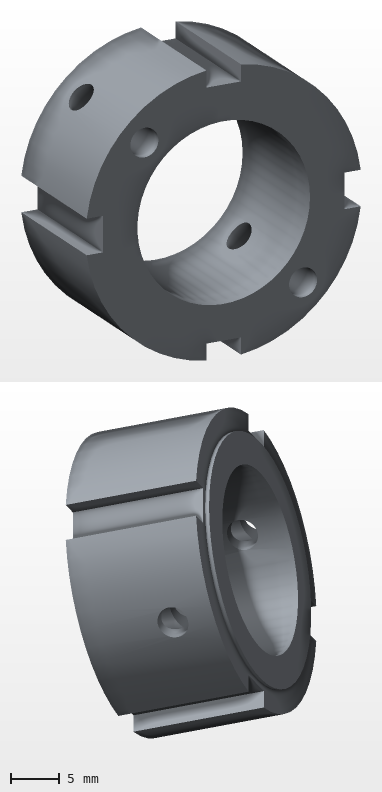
import cadquery as cq

outer_diameter = 32.0
bore_diameter = 20.0
total_width = 15.0
lip_diameter = 27.0
lip_width = 0.45

slot_count = 4
slot_width = 4.0
slot_floor_radius = 14.0

hole_diameter = 3.3
hole_position = 4.95
hole_angle = 45.0

axial_hole_diameter = 3.25
axial_hole_radius = (outer_diameter + bore_diameter) / 4


def make_ring():
    """Rim with a raised contact face on the -X side and a plain bore."""
    lip = cq.Workplane("YZ").circle(lip_diameter / 2).extrude(total_width)
    rim = (
        cq.Workplane("YZ", origin=(lip_width, 0, 0))
        .circle(outer_diameter / 2)
        .extrude(total_width - lip_width)
    )
    bore = cq.Workplane("YZ").circle(bore_diameter / 2).extrude(total_width)
    return lip.union(rim).cut(bore)


def make_slot(angle):
    """Cutter for one spanner slot, turned about X from the +Z side."""
    slot = cq.Workplane("XY").box(
        total_width, slot_width, outer_diameter / 2, centered=(False, True, False)
    )
    return slot.translate((0, 0, slot_floor_radius)).rotate((0, 0, 0), (1, 0, 0), angle)


def make_cross_hole():
    """Cutter through both walls, from the (-Y, +Z) side to the (+Y, -Z) side."""
    hole = cq.Workplane("XY").circle(hole_diameter / 2).extrude(outer_diameter / 2, both=True)
    return hole.translate((hole_position, 0, 0)).rotate((0, 0, 0), (1, 0, 0), hole_angle)


def make_axial_holes():
    """Cutter for the opposite axial holes that end on the cross hole axis."""
    holes = (
        cq.Workplane("YZ", origin=(hole_position, 0, 0))
        .pushPoints([(0, axial_hole_radius), (0, -axial_hole_radius)])
        .circle(axial_hole_diameter / 2)
        .extrude(total_width - hole_position)
    )
    return holes.rotate((0, 0, 0), (1, 0, 0), hole_angle)


result = make_ring()
for index in range(slot_count):
    result = result.cut(make_slot(index * 360 / slot_count))
result = result.cut(make_cross_hole())
result = result.cut(make_axial_holes())